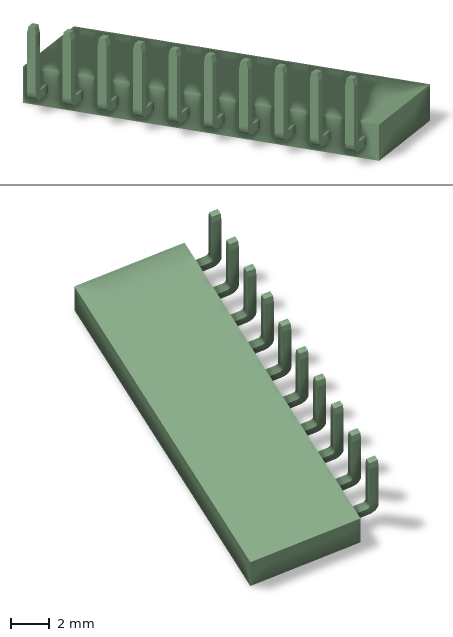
import cadquery as cq

housing_length = 20.15
housing_depth = 6.35
housing_height = 2.0

pin_count = 10
pin_pitch = 2.0
first_pin_inset = 1.16
pin_size = 0.5
pin_reach = 1.5
pin_top = 4.9
pin_axis_height = housing_height / 2
bend_inner_radius = 0.2
bend_outer_radius = 0.55

tip_height = 0.4
tip_width = 0.33


def make_housing():
    """Plain block with its front face on Y = 0 and its base on Z = 0."""
    return cq.Workplane("XY").box(
        housing_length, housing_depth, housing_height, centered=(False, False, False)
    )


def make_bent_bar():
    """Square bar leaving the housing along -Y and bending up to +Z, centred on X = 0."""
    lower_face = pin_axis_height - pin_size / 2
    upper_face = pin_axis_height + pin_size / 2
    front_face = -pin_reach
    rear_face = front_face + pin_size
    bar = (
        cq.Workplane("YZ")
        .moveTo(0, lower_face)
        .lineTo(front_face + bend_outer_radius, lower_face)
        .radiusArc((front_face, lower_face + bend_outer_radius), bend_outer_radius)
        .lineTo(front_face, pin_top)
        .lineTo(rear_face, pin_top)
        .lineTo(rear_face, upper_face + bend_inner_radius)
        .radiusArc((rear_face + bend_inner_radius, upper_face), -bend_inner_radius)
        .lineTo(0, upper_face)
        .close()
    )
    return bar.extrude(pin_size / 2, both=True)


def make_tip_envelope():
    """Front outline of a pin, with sloped sides at the tip, swept through the pin's reach."""
    half_width = pin_size / 2
    half_tip = tip_width / 2
    shoulder = pin_top - tip_height
    return (
        cq.Workplane("XZ")
        .polyline(
            [
                (-half_width, 0),
                (half_width, 0),
                (half_width, shoulder),
                (half_tip, pin_top),
                (-half_tip, pin_top),
                (-half_width, shoulder),
            ]
        )
        .close()
        .extrude(pin_reach)
    )


pin = make_bent_bar().intersect(make_tip_envelope())

result = make_housing()
for index in range(pin_count):
    pin_x = first_pin_inset + index * pin_pitch
    result = result.union(pin.translate((pin_x, 0, 0)))